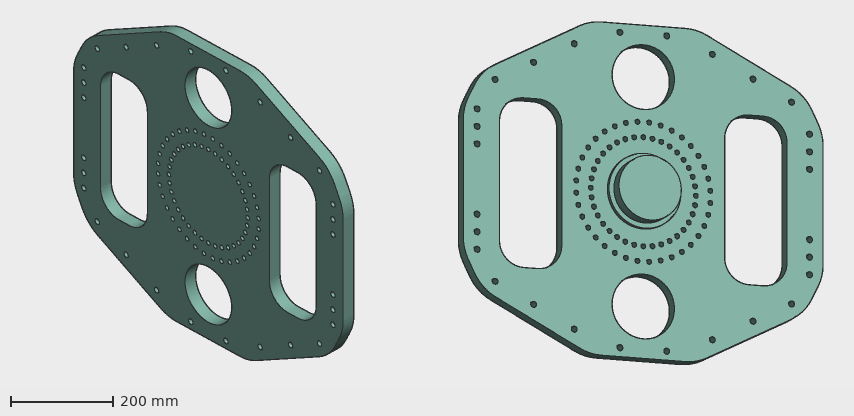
import cadquery as cq
import math

width = 749.5
height = 668.5
plate_thickness = 30.0
corner_radius = 100.0

top_corner = (112.0, height / 2)
shoulder_corner = (336.5, 219.0)
side_corner = (width / 2, 142.5)

flange_diameter = 150.0
flange_thickness = 10.0
hub_diameter = 130.0
hub_length = 30.0

window_diameter = 130.0
window_offset = 230.0
slot_width = 130.0
slot_height = 340.0
slot_offset = 234.5
slot_corner_radius = 50.0

ring_hole_count = 36
ring_hole_diameter = 10.0
inner_ring_radius = 109.5
outer_ring_radius = 140.0
ring_pitch_angle = 360 / ring_hole_count

rim_hole_diameter = 12.0
side_hole_x = 346.0
side_hole_first_z = 70.5
side_hole_pitch = 35.0
side_hole_count = 3
shoulder_holes = [(309.0, 202.0), (228.5, 243.0), (144.0, 286.0), (49.0, 316.0)]


def xz_plane(y=0.0):
    """XZ sketch plane at the given Y; its normal is -Y, so negative extrusions go toward +Y."""
    return cq.Workplane("XZ", origin=(0, y, 0))


def mirrored(points):
    """Repeat first-quadrant points in all four quadrants."""
    return [(sx * x, sz * z) for sx in (1, -1) for sz in (1, -1) for x, z in points]


def ring_points(radius, start_angle):
    """Centres of one ring of evenly spaced holes."""
    angles = [math.radians(start_angle + i * ring_pitch_angle) for i in range(ring_hole_count)]
    return [(radius * math.cos(a), radius * math.sin(a)) for a in angles]


def through_holes(points, diameter):
    return xz_plane().pushPoints(points).circle(diameter / 2).extrude(-plate_thickness)


def plate():
    quadrant = [top_corner, shoulder_corner, side_corner]
    right_half = quadrant + [(x, -z) for x, z in reversed(quadrant)]
    left_half = [(-x, -z) for x, z in right_half]
    blank = xz_plane().polyline(right_half + left_half).close().extrude(-plate_thickness)
    return blank.edges("|Y").fillet(corner_radius)


def hub():
    flange = xz_plane(plate_thickness).circle(flange_diameter / 2).extrude(-flange_thickness)
    boss = xz_plane(plate_thickness + flange_thickness).circle(hub_diameter / 2).extrude(-hub_length)
    return flange.union(boss)


def side_slots():
    slots = (
        xz_plane()
        .pushPoints([(slot_offset, 0), (-slot_offset, 0)])
        .rect(slot_width, slot_height)
        .extrude(-plate_thickness)
    )
    return slots.edges("|Y").fillet(slot_corner_radius)


side_holes = [(side_hole_x, side_hole_first_z + i * side_hole_pitch) for i in range(side_hole_count)]

result = plate().union(hub())
result = result.cut(side_slots())
result = result.cut(through_holes([(0, window_offset), (0, -window_offset)], window_diameter))
result = result.cut(through_holes(ring_points(inner_ring_radius, 0), ring_hole_diameter))
result = result.cut(through_holes(ring_points(outer_ring_radius, ring_pitch_angle / 2), ring_hole_diameter))
result = result.cut(through_holes(mirrored(side_holes + shoulder_holes), rim_hole_diameter))